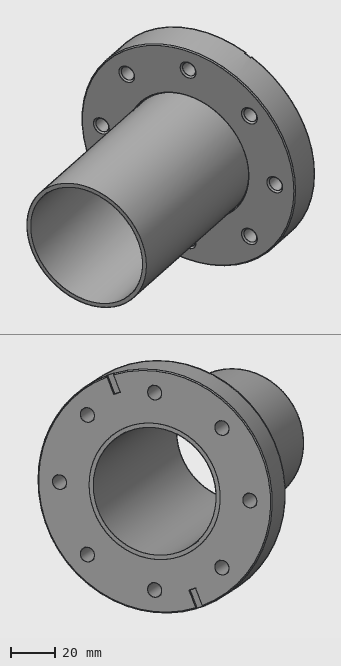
import cadquery as cq
import math

FLANGE_DIAMETER = 113.5
FLANGE_THICKNESS = 17.5
RIM_CHAMFER = 0.6

TUBE_OUTER_DIAMETER = 63.6
TUBE_INNER_DIAMETER = 59.5
OVERALL_LENGTH = 104.8

MOUTH_CHAMFER = 0.6

HOLE_COUNT = 8
BOLT_CIRCLE_DIAMETER = 92.2
HOLE_DIAMETER = 6.8
HOLE_CHAMFER = 0.8
HOLE_PITCH_ANGLE = 360 / HOLE_COUNT

GROOVE_ANGLES = (HOLE_PITCH_ANGLE * 1.5, HOLE_PITCH_ANGLE * 1.5 + 180)
GROOVE_WIDTH = 3.4
GROOVE_DEPTH = 1.2
GROOVE_LENGTH = 9.1


def cylinder(diameter, back_y, front_y):
    """Cylinder about the Y axis, running toward -Y from back_y to front_y."""
    return cq.Workplane("XZ", origin=(0, back_y, 0)).circle(diameter / 2).extrude(back_y - front_y)


def front_countersink(diameter, chamfer):
    """Cone that chamfers the front-face edge of a hole on the Y axis."""
    radius = diameter / 2
    front_y = -FLANGE_THICKNESS
    profile = [
        (0, front_y),
        (radius + chamfer, front_y),
        (radius, front_y + chamfer),
        (0, front_y + chamfer),
    ]
    return cq.Workplane("XY").polyline(profile).close().revolve(360, (0, 0, 0), (0, 1, 0))


def bolt_hole(angle):
    """Through hole with a chamfered front edge, placed on the bolt circle."""
    x = BOLT_CIRCLE_DIAMETER / 2 * math.cos(math.radians(angle))
    z = BOLT_CIRCLE_DIAMETER / 2 * math.sin(math.radians(angle))
    hole = cylinder(HOLE_DIAMETER, 0, -FLANGE_THICKNESS)
    return hole.union(front_countersink(HOLE_DIAMETER, HOLE_CHAMFER)).translate((x, 0, z))


def rim_groove(angle):
    """Radial groove that opens on the back face and on the rim."""
    groove = (
        cq.Workplane("XY")
        .box(GROOVE_LENGTH, GROOVE_DEPTH, GROOVE_WIDTH)
        .translate(((FLANGE_DIAMETER - GROOVE_LENGTH) / 2, -GROOVE_DEPTH / 2, 0))
    )
    return groove.rotate((0, 0, 0), (0, 1, 0), -angle)


def make_flange():
    """Disc with chamfered rim, tube bore, bolt holes and rim grooves."""
    flange = cylinder(FLANGE_DIAMETER, 0, -FLANGE_THICKNESS).edges().chamfer(RIM_CHAMFER)
    flange = flange.cut(cylinder(TUBE_OUTER_DIAMETER, 0, -FLANGE_THICKNESS))
    flange = flange.cut(front_countersink(TUBE_OUTER_DIAMETER, MOUTH_CHAMFER))
    for index in range(HOLE_COUNT):
        flange = flange.cut(bolt_hole(index * HOLE_PITCH_ANGLE))
    for angle in GROOVE_ANGLES:
        flange = flange.cut(rim_groove(angle))
    return flange


def make_tube():
    """Straight tube that fills the flange bore and reaches the front end."""
    outer = cylinder(TUBE_OUTER_DIAMETER, 0, -OVERALL_LENGTH)
    return outer.cut(cylinder(TUBE_INNER_DIAMETER, 0, -OVERALL_LENGTH))


flange = make_flange()
tube = make_tube()
result = cq.Compound.makeCompound([flange.val(), tube.val()])